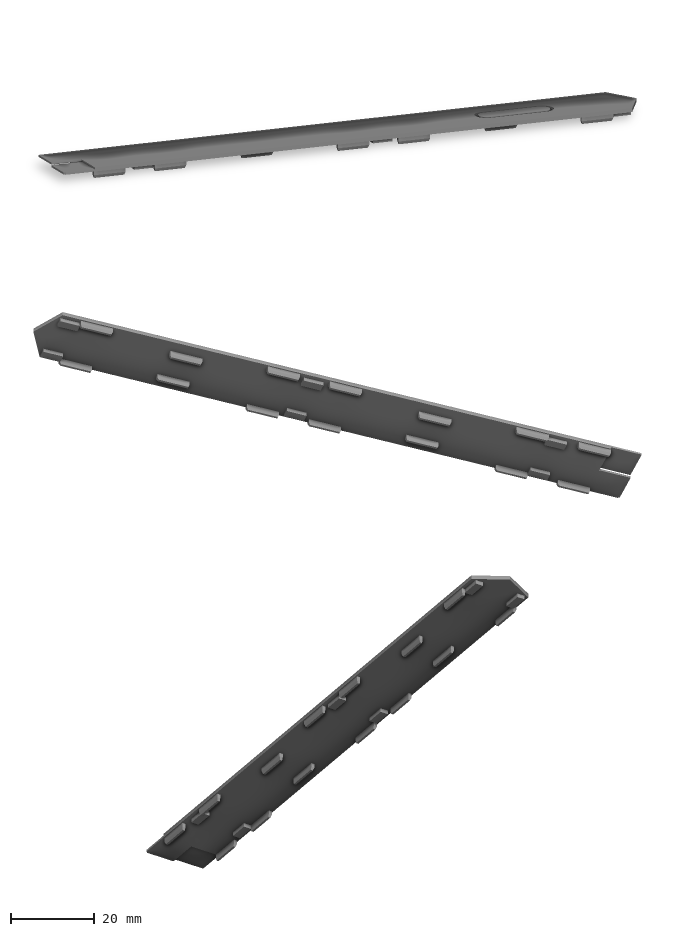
import cadquery as cq

plate_length = 152.0
plate_width = 16.05
plate_thickness = 1.0
half_width = plate_width / 2
tip_y = 76.1
tip_length = 4.55
shoulder_y = tip_y - tip_length
plate_end_y = tip_y - plate_length

lap_depth = plate_thickness / 2
lap_start_y = -68.1
lap_gap = 0.2
tongue_overhang = 0.19
tongue_chamfer = 0.4

groove_length = 20.2
groove_width = 6.0
groove_y = 44.3
step_width = 0.45
outer_step_depth = 0.25
inner_step_depth = 0.5

overall_height = 2.75
rail_height = overall_height - plate_thickness
rail_length = 8.2
bevel_run = 0.27
bevel_height = 0.75
outer_rail_x = 7.25
rail_width = 0.85
inner_rail_x = 4.45
first_rail_y = 62.7
rail_spacing = 23.8
rail_repeat = 63.4
outer_rail_ys = [first_rail_y - i * rail_repeat for i in range(3)]
outer_rail_ys += [first_rail_y - 2 * rail_spacing - i * rail_repeat for i in range(2)]
inner_rail_ys = [first_rail_y - rail_spacing - i * rail_repeat for i in range(2)]

pad_length = 5.0
pad_width = 2.0
pad_height = 1.0
pad_x = (outer_rail_x + inner_rail_x) / 2
first_pad_y = 69.2
pad_repeat = 62.0
pad_ys = [first_pad_y - i * pad_repeat for i in range(3)]

overlap = 0.1


def box(x0, x1, y0, y1, z0, z1):
    corner_box = cq.Workplane("XY").box(x1 - x0, y1 - y0, z1 - z0, centered=False)
    return corner_box.translate((x0, y0, z0))


def block_under_plate(width, length, height):
    """A block centred on the Z axis, hanging from the plate's lower face."""
    bottom_z = -plate_thickness - height
    top_z = -plate_thickness + overlap
    return box(-width / 2, width / 2, -length / 2, length / 2, bottom_z, top_z)


def make_plate():
    outline = [
        (-half_width, plate_end_y),
        (half_width, plate_end_y),
        (half_width, shoulder_y),
        (0, tip_y),
        (-half_width, shoulder_y),
    ]
    return cq.Workplane("XY").polyline(outline).close().extrude(-plate_thickness)


def make_tongue():
    tongue_end_y = plate_end_y - tongue_overhang
    tongue = box(lap_gap, half_width, tongue_end_y, lap_start_y, -plate_thickness, -lap_depth)
    return tongue.edges("|Z and <Y and >X").chamfer(tongue_chamfer)


def cut_half_lap(plate):
    upper = box(-lap_gap, half_width, plate_end_y, lap_start_y, -lap_depth, 0)
    lower = box(-half_width, lap_gap, plate_end_y, lap_start_y, -plate_thickness, -lap_depth)
    tongue_place = box(lap_gap, half_width, plate_end_y, lap_start_y, -plate_thickness, -lap_depth)
    return plate.cut(upper).cut(lower).cut(tongue_place).union(make_tongue())


def rounded_slot(inset, depth):
    length = groove_length - 2 * inset
    width = groove_width - 2 * inset
    return cq.Workplane("XY").center(0, groove_y).slot2D(length, width, 90).extrude(-depth)


def make_groove():
    outer_step = rounded_slot(0, outer_step_depth)
    inner_step = rounded_slot(step_width, inner_step_depth)
    island = rounded_slot(2 * step_width, inner_step_depth)
    return outer_step.union(inner_step).cut(island)


def make_rail():
    """A rail with its lower edge bevelled at both ends and along its outward side."""
    rail = block_under_plate(rail_width, rail_length, rail_height)
    return rail.faces("<Z").edges("|X or <X").chamfer(bevel_height, bevel_run)


rail = make_rail()
pad = block_under_plate(pad_width, pad_length, pad_height)

underside = [rail.translate((-outer_rail_x, y, 0)) for y in outer_rail_ys]
underside += [rail.translate((-inner_rail_x, y, 0)) for y in inner_rail_ys]
underside += [pad.translate((-pad_x, y, 0)) for y in pad_ys]

part = cut_half_lap(make_plate()).cut(make_groove())
for feature in underside:
    part = part.union(feature).union(feature.mirror("YZ"))

result = part.solids()